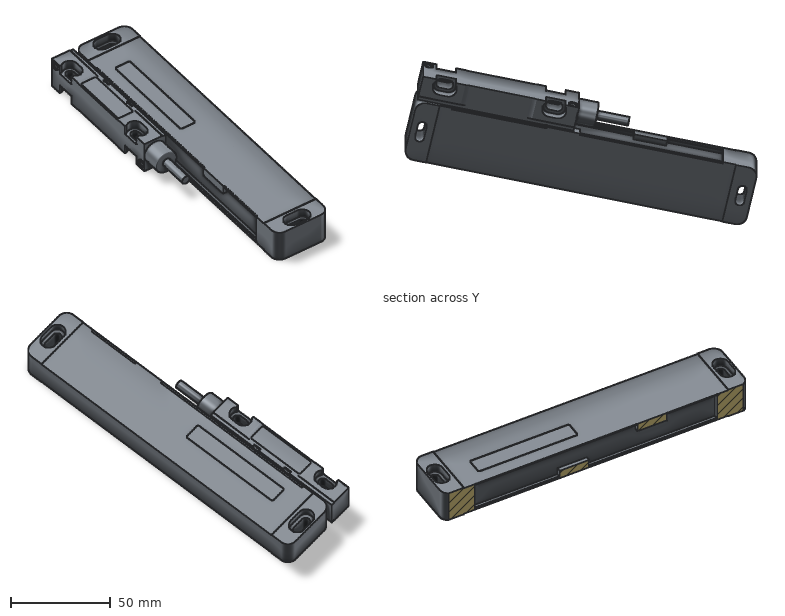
import cadquery as cq
import math

LENGTH = 175.0
HEIGHT = 18.0
TOTAL_DEPTH = 46.0
STEP = 0.4

SCALE_DEPTH = 32.0
SCALE_FRONT = TOTAL_DEPTH - SCALE_DEPTH
CAP_LENGTH = 11.5
CAP_CORNER_RADIUS = 5.0
CAP_SLOT_INSET = 5.5
CAP_SLOT_LENGTH = 10.8
CAP_SLOT_WIDTH = 4.5
CAP_SEAT_LENGTH = 15.0
CAP_SEAT_WIDTH = 8.4
CAP_SEAT_DEPTH = 4.9
ALONG_Y = 90
PLATE_START = 24.0
PLATE_LENGTH = 57.0
PLATE_WIDTH = 9.1
PLATE_FRONT_INSET = 7.7
PLATE_CORNER_RADIUS = 0.9
CHANNEL_INSET = 18.0
CHANNEL_DEPTH = 2.8
CHANNEL_LIP = 1.2
MOUTH_DEPTH = 1.0
MOUTH_LIP = 0.5
TAB_LENGTH = 17.0
TAB_HEIGHT = 5.2
UPPER_TAB_START = 111.3
LOWER_TAB_START = 66.5

HEAD_LENGTH = 80.0
HEAD_DEPTH = 13.1
LEDGE_DEPTH = 2.0
WAIST_INSET = 21.7
WAIST_RAMP = 2.1
HEAD_SLOT_INSET = 11.9
HEAD_SLOT_Y = 4.0
HEAD_SLOT_LENGTH = 8.5
HEAD_SLOT_WIDTH = 4.9
HEAD_SEAT_LENGTH = 12.2
HEAD_SEAT_WIDTH = 8.2
HEAD_SEAT_DEPTH = 5.0
SEAT_MOUTH_WIDTH = 10.0
SEAT_MOUTH_DEPTH = 1.4
LABEL_FRONT = 0.9
LABEL_WIDTH = 9.3
LABEL_HEIGHT = 0.2
LABEL_CORNER_RADIUS = 0.9
DIMPLE_INSET = 3.0
DIMPLE_DIAMETER = 4.5
DIMPLE_RIM_DEPTH = 0.5
CONE_DIAMETER = 3.3
CONE_DEPTH = 1.5
NOTCH_X = (30.1, 50.2)
NOTCH_RADIUS = 2.3
NOTCH_AXIS_RISE = 0.9
NOTCH_LENGTH = 1.4
CABLE_Y = 6.5
CABLE_Z = 10.0
GLAND_DIAMETER = 12.8
GLAND_LENGTH = 10.2
GLAND_FILLET = 0.5
CABLE_DIAMETER = 4.5
CABLE_LENGTH = 16.6


def block(x, y, z, length, depth, height):
    """Box with its lowest corner at (x, y, z)."""
    return cq.Workplane("XY").box(length, depth, height, centered=False).translate((x, y, z))


def slot(x, y, z, length, width, height, angle=0):
    """Upright slot-shaped prism centred on (x, y), starting at height z."""
    return cq.Workplane("XY", origin=(x, y, z)).slot2D(length, width, angle).extrude(height)


def scale_housing():
    body = block(0, SCALE_FRONT, 0, LENGTH, SCALE_DEPTH, HEIGHT)
    body = body.edges("|Z").fillet(CAP_CORNER_RADIUS)

    profile_length = LENGTH - 2 * CAP_LENGTH
    for z in (0, HEIGHT - STEP):
        body = body.cut(block(CAP_LENGTH, SCALE_FRONT, z, profile_length, SCALE_DEPTH, STEP))

    channel_length = LENGTH - 2 * CHANNEL_INSET
    for depth, lip in ((CHANNEL_DEPTH, CHANNEL_LIP), (MOUTH_DEPTH, MOUTH_LIP)):
        bottom = STEP + lip
        body = body.cut(
            block(CHANNEL_INSET, SCALE_FRONT, bottom, channel_length, depth, HEIGHT - 2 * bottom)
        )

    for x, z in ((UPPER_TAB_START, HEIGHT - STEP - TAB_HEIGHT), (LOWER_TAB_START, STEP)):
        body = body.union(block(x, SCALE_FRONT, z, TAB_LENGTH, CHANNEL_DEPTH, TAB_HEIGHT))

    plate = block(PLATE_START, SCALE_FRONT + PLATE_FRONT_INSET, HEIGHT - STEP,
                  PLATE_LENGTH, PLATE_WIDTH, STEP)
    body = body.union(plate.edges("|Z").fillet(PLATE_CORNER_RADIUS))

    slot_y = SCALE_FRONT + SCALE_DEPTH / 2
    for x in (CAP_SLOT_INSET, LENGTH - CAP_SLOT_INSET):
        body = body.cut(slot(x, slot_y, 0, CAP_SLOT_LENGTH, CAP_SLOT_WIDTH, HEIGHT, ALONG_Y))
        body = body.cut(
            slot(x, slot_y, HEIGHT - CAP_SEAT_DEPTH,
                 CAP_SEAT_LENGTH, CAP_SEAT_WIDTH, CAP_SEAT_DEPTH, ALONG_Y)
        )
    return body


def waist_cutter():
    """Shallow recess across the top of the head, its floor running out along an arc at each end."""
    floor = HEIGHT - STEP
    radius = (WAIST_RAMP**2 + STEP**2) / (2 * STEP)
    half_angle = math.asin(WAIST_RAMP / radius) / 2
    mid_run = radius * math.sin(half_angle)
    mid_rise = radius * (1 - math.cos(half_angle))
    left = WAIST_INSET
    right = HEAD_LENGTH - WAIST_INSET
    floor_left = left + WAIST_RAMP
    floor_right = right - WAIST_RAMP
    return (
        cq.Workplane("XZ")
        .moveTo(left, HEIGHT)
        .threePointArc((floor_left - mid_run, floor + mid_rise), (floor_left, floor))
        .lineTo(floor_right, floor)
        .threePointArc((floor_right + mid_run, floor + mid_rise), (right, HEIGHT))
        .close()
        .extrude(-HEAD_DEPTH)
    )


def dimple(x, z):
    """Stepped dimple in the front face of the head: a shallow round rim, then a cone."""
    inward = cq.Vector(0, 1, 0)
    rim = cq.Solid.makeCylinder(DIMPLE_DIAMETER / 2, DIMPLE_RIM_DEPTH, cq.Vector(x, 0, z), inward)
    cone = cq.Solid.makeCone(
        CONE_DIAMETER / 2, 0, CONE_DEPTH, cq.Vector(x, DIMPLE_RIM_DEPTH, z), inward
    )
    return cq.Workplane(obj=rim).union(cq.Workplane(obj=cone))


def rod(x, diameter, length):
    """Cylinder along X on the cable axis."""
    return cq.Workplane("YZ", origin=(x, CABLE_Y, CABLE_Z)).circle(diameter / 2).extrude(length)


def reading_head():
    body = block(0, 0, 0, HEAD_LENGTH, HEAD_DEPTH, HEIGHT)

    for z in (0, HEIGHT - STEP):
        body = body.cut(block(0, HEAD_DEPTH - LEDGE_DEPTH, z, HEAD_LENGTH, LEDGE_DEPTH, STEP))
    waist = waist_cutter()
    body = body.cut(waist)
    body = body.cut(waist.mirror("XY", (0, 0, HEIGHT / 2)))

    for x in (HEAD_SLOT_INSET, HEAD_LENGTH - HEAD_SLOT_INSET):
        body = body.cut(slot(x, HEAD_SLOT_Y, 0, HEAD_SLOT_LENGTH, HEAD_SLOT_WIDTH, HEIGHT))
        for z in (0, HEIGHT - HEAD_SEAT_DEPTH):
            body = body.cut(slot(x, HEAD_SLOT_Y, z, HEAD_SEAT_LENGTH, HEAD_SEAT_WIDTH, HEAD_SEAT_DEPTH))
            body = body.cut(
                block(x - SEAT_MOUTH_WIDTH / 2, 0, z, SEAT_MOUTH_WIDTH, SEAT_MOUTH_DEPTH, HEAD_SEAT_DEPTH)
            )

    label_start = WAIST_INSET + WAIST_RAMP
    label = block(label_start, LABEL_FRONT, HEIGHT - STEP,
                  HEAD_LENGTH - 2 * label_start, LABEL_WIDTH, LABEL_HEIGHT)
    body = body.union(label.edges("|Z").fillet(LABEL_CORNER_RADIUS))

    notch_z = HEIGHT - STEP + NOTCH_AXIS_RISE
    for x in NOTCH_X:
        notch = cq.Workplane("XZ", origin=(x, HEAD_DEPTH, notch_z)).circle(NOTCH_RADIUS)
        body = body.cut(notch.extrude(NOTCH_LENGTH))

    body = body.cut(dimple(DIMPLE_INSET, HEIGHT - DIMPLE_INSET))
    body = body.cut(dimple(HEAD_LENGTH - DIMPLE_INSET, DIMPLE_INSET))

    gland = rod(HEAD_LENGTH, GLAND_DIAMETER, GLAND_LENGTH).faces(">X").edges().fillet(GLAND_FILLET)
    cable = rod(HEAD_LENGTH + GLAND_LENGTH, CABLE_DIAMETER, CABLE_LENGTH)
    return body.union(gland).union(cable)


result = cq.Compound.makeCompound([scale_housing().val(), reading_head().val()])